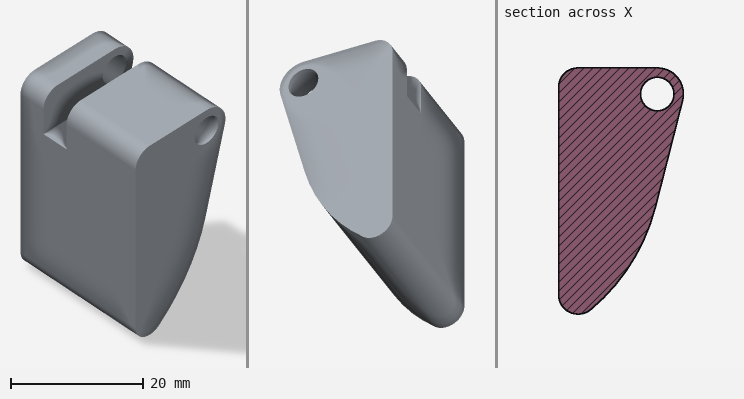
import cadquery as cq
import math

width = 25.0
height = 37.37

edge_radius = 3.0
lug_radius = 4.0
lug_y = 15.0
lug_z = height - lug_radius
back_slope = 14.3
belly_radius = 30.0

hole_diameter = 5.0
slot_start = 5.0
slot_width = 5.0
slot_depth = 8.0


def point_on_circle(center, radius, angle):
    """Point on a circle in YZ at an angle in radians, measured from +Y towards +Z."""
    return (center[0] + radius * math.cos(angle), center[1] + radius * math.sin(angle))


def make_body():
    lug = (lug_y, lug_z)
    toe = (edge_radius, edge_radius)
    front_top = (edge_radius, height - edge_radius)

    back_normal = -math.radians(back_slope)
    back_start = point_on_circle(lug, lug_radius, back_normal)

    toe_gap = belly_radius - edge_radius
    normal_y = math.cos(back_normal)
    normal_z = math.sin(back_normal)
    toe_to_back = (back_start[0] - toe[0]) * normal_y + (back_start[1] - toe[1]) * normal_z
    across = toe_to_back - belly_radius
    along = math.sqrt(toe_gap**2 - across**2)
    belly = (
        toe[0] + across * normal_y - along * normal_z,
        toe[1] + across * normal_z + along * normal_y,
    )
    toe_angle = math.atan2(toe[1] - belly[1], toe[0] - belly[0])

    back_end = point_on_circle(belly, belly_radius, back_normal)
    belly_middle = point_on_circle(belly, belly_radius, (back_normal + toe_angle) / 2)
    belly_end = point_on_circle(belly, belly_radius, toe_angle)
    toe_middle = point_on_circle(toe, edge_radius, (toe_angle - math.pi) / 2)
    front_middle = point_on_circle(front_top, edge_radius, math.radians(135))
    lug_middle = point_on_circle(lug, lug_radius, (back_normal + math.pi / 2) / 2)

    return (
        cq.Workplane("YZ")
        .moveTo(0, edge_radius)
        .lineTo(0, height - edge_radius)
        .threePointArc(front_middle, (edge_radius, height))
        .lineTo(lug_y, height)
        .threePointArc(lug_middle, back_start)
        .lineTo(*back_end)
        .threePointArc(belly_middle, belly_end)
        .threePointArc(toe_middle, (0, edge_radius))
        .close()
        .extrude(width)
    )


def make_pin_hole():
    return cq.Workplane("YZ").center(lug_y, lug_z).circle(hole_diameter / 2).extrude(width)


def make_slot():
    slot_length = lug_y + lug_radius
    return cq.Workplane("XY").box(slot_width, slot_length, slot_depth, centered=False).translate(
        (slot_start, 0, height - slot_depth)
    )


result = make_body().cut(make_pin_hole()).cut(make_slot())